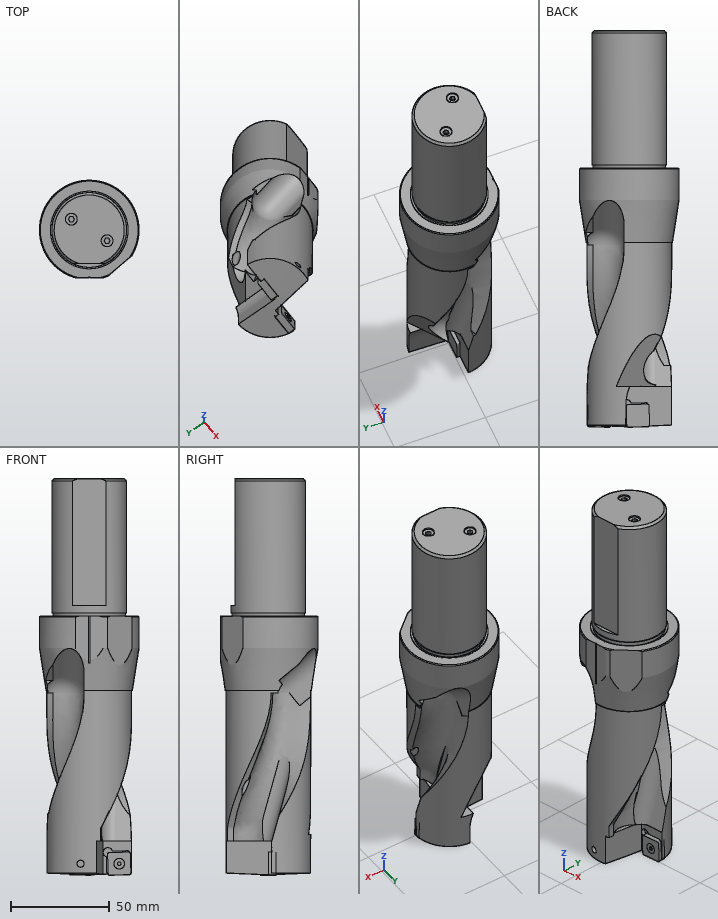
import cadquery as cq
import math


shank_radius = 38.1 / 2
shank_length = 70.0
shank_chamfer = 1.2
shank_flat_offset = 17.0
shank_flat_bottom = 5.5
neck_radius = shank_radius - 0.5
neck_length = 1.6
undercut_radius = 19.8
undercut_depth = 0.6

collar_radius = 25.4
collar_height = 16.4
collar_chamfer = 0.5
cone_bottom_radius = 22.0
cone_bottom_z = -37.9
front_flat_offset = 24.4
corner_flat_offset = 24.05
corner_flat_angle = 40.5
mark_width = 0.6
mark_depth = 0.4
mark_bottom = -24.0

drill_radius = 21.65
tip_z = -132.09
body_end_z = tip_z + 0.2
rim_rise = 0.9
flute_count = 2

groove_radius = 10.2
groove_x = -12.8
groove_y = -10.8
groove_wall_x = groove_x + groove_radius
land_x = -18.5
land_y = groove_y + math.sqrt(groove_radius ** 2 - (land_x - groove_x) ** 2)
land_slope = 0.3
flute_reach = 26.0

flute_top_z = -39.3
center_flute_end_z = -100.5
twist_rate = 2.1
twist_ease_length = 59.0
full_turn = 78.0
top_runout_angle = 51.0
slot_depth = 8.2
relief_offset = 12.5
relief_slope = 19.0
relief_heading = 127.0

clearance_tilt = 15.5
clearance_x = 6.0
clearance_depth = 7.5
clearance_fillet = 7.35
clearance_length = 50.0

outer_pocket_top_z = -114.7
center_pocket_top_z = -111.2
pocket_overrun = 1.0
seat_gap = 0.7
pocket_wall_y = 1.75
center_wall_bend_z = -120.5
center_wall_overhang = 2.0
outer_wall_inner_x = 6.9
outer_wall_rim_x = 3.2
center_wall_x = -1.7

insert_size = 11.6
insert_thickness = 4.0
insert_corner = 0.8
insert_lean = 1.5
outer_insert_x = 15.3
center_insert_x = 4.4
corner_relief_radius = 2.4

screw_head_radius = 2.7
screw_head_depth = 1.6
screw_radius = 1.8
screw_length = 12.0
screw_socket_width = 2.0
screw_socket_depth = 1.0

plug_x = -9.1
plug_y = 5.5
plug_radius = 3.0
plug_recess = 0.8
plug_length = 8.0
plug_socket_width = 3.0
plug_socket_depth = 3.0
coolant_radius = 2.0
coolant_exit = cq.Vector(-14.0, 11.5, -93.0)

origin = (0, 0, 0)
z_axis = (0, 0, 1)
y_axis = (0, 1, 0)
half_insert = insert_size / 2
lean = math.radians(insert_lean)
insert_drop = (half_insert - insert_corner) * (math.cos(lean) + math.sin(lean)) + insert_corner
insert_z = tip_z + insert_drop


def around_axis(shape, angle):
    return shape.rotate(origin, z_axis, angle)


def turned_blank():
    """Shank, collar, cone and drill shaft as one turned profile."""
    return (
        cq.Workplane("XZ")
        .moveTo(0, body_end_z)
        .lineTo(drill_radius, body_end_z + rim_rise)
        .lineTo(drill_radius, cone_bottom_z)
        .lineTo(cone_bottom_radius, cone_bottom_z)
        .lineTo(collar_radius, -collar_height)
        .lineTo(collar_radius, -collar_chamfer)
        .lineTo(collar_radius - collar_chamfer, 0)
        .lineTo(undercut_radius, 0)
        .lineTo(undercut_radius, -undercut_depth)
        .lineTo(neck_radius, -undercut_depth)
        .lineTo(neck_radius, neck_length)
        .lineTo(shank_radius, neck_length)
        .lineTo(shank_radius, shank_length - shank_chamfer)
        .lineTo(shank_radius - shank_chamfer, shank_length)
        .lineTo(0, shank_length)
        .close()
        .revolve(360, origin, (0, 1, 0))
    )


def flat_cutter(offset, bottom, top):
    """Block that leaves a flat facing -Y at the given distance from the axis."""
    width = 2 * collar_radius
    depth = collar_radius
    block = cq.Workplane("XY").box(width, depth, top - bottom, centered=(True, True, False))
    return block.translate((0, -offset - depth / 2, bottom))


def alignment_mark():
    """Shallow scribed line down the middle of the front collar flat."""
    bar = cq.Workplane("XY").box(mark_width, 2 * mark_depth, -mark_bottom, centered=(True, True, False))
    return bar.translate((0, -front_flat_offset, mark_bottom))


def flute_turn(drop):
    """Turn of the flute, in degrees, at a distance below its top: eased in, steady, then straight."""
    if drop < twist_ease_length:
        return twist_rate * drop ** 2 / (2 * twist_ease_length)
    return min(twist_rate * (drop - twist_ease_length / 2), full_turn)


def twisted_flute(end_z):
    """Flute with a sloped land, round floor and straight wall, turned by a guide curve."""
    length = flute_top_z - end_z

    def guide_point(t):
        drop = t * length
        angle = math.radians(-flute_turn(drop))
        return (
            flute_reach * math.cos(angle),
            flute_reach * math.sin(angle),
            flute_top_z - drop,
        )

    guide = cq.Workplane("XY").parametricCurve(guide_point)
    path = cq.Workplane("XZ").moveTo(0, flute_top_z).lineTo(0, end_z)
    return (
        cq.Workplane("XY", origin=(0, 0, flute_top_z))
        .moveTo(-flute_reach, land_y + land_slope * (flute_reach + land_x))
        .lineTo(land_x, land_y)
        .threePointArc((groove_x, groove_y + groove_radius), (groove_wall_x, groove_y))
        .lineTo(groove_wall_x, -flute_reach)
        .lineTo(-flute_reach, -flute_reach)
        .close()
        .sweep(path, auxSpine=guide)
    )


def groove_ball(z):
    return cq.Workplane("XY").sphere(groove_radius).translate((groove_x, groove_y, z))


def top_runout():
    """Ball end of the flute and a slot of the same section that rises outward through the cone."""
    land_from_center = land_x - groove_x
    land_height = land_y - groove_y
    slot = (
        cq.Workplane("XY")
        .moveTo(-flute_reach, land_height)
        .lineTo(land_from_center, land_height)
        .threePointArc((0, groove_radius), (groove_radius, 0))
        .lineTo(groove_radius, -slot_depth)
        .lineTo(-flute_reach, -slot_depth)
        .close()
        .extrude(2 * collar_radius)
        .rotate(origin, (1, 0, 0), top_runout_angle)
        .translate((groove_x, groove_y, flute_top_z))
    )
    return [groove_ball(flute_top_z), slot]


def center_flute_end():
    """Ball end of the flute above the center insert."""
    return around_axis(groove_ball(center_flute_end_z), -flute_turn(flute_top_z - center_flute_end_z))


def center_flute_relief():
    """Wedge that slopes the rim back from the flute down to the center insert pocket."""
    run = flute_reach - relief_offset
    rise = run / math.tan(math.radians(relief_slope))
    wedge = (
        cq.Workplane("XZ")
        .moveTo(relief_offset, center_pocket_top_z)
        .lineTo(flute_reach, center_pocket_top_z)
        .lineTo(flute_reach, center_pocket_top_z + rise)
        .close()
        .extrude(flute_reach, both=True)
    )
    return around_axis(wedge, relief_heading)


def chip_clearance(pocket_top_z):
    """Tilted, round-cornered slot that carries chips from the insert up into the flute."""
    width = flute_reach - clearance_x
    slot = (
        cq.Workplane("XY")
        .box(width, clearance_depth, 2 * clearance_length, centered=(False, False, True))
        .edges("|Z and <X and >Y")
        .fillet(clearance_fillet)
        .translate((clearance_x, pocket_wall_y - clearance_depth, 0))
        .rotate(origin, (1, 0, 0), -clearance_tilt)
        .translate((0, 0, pocket_top_z))
    )
    above_pocket = (
        cq.Workplane("XY", origin=(0, 0, pocket_top_z))
        .rect(4 * flute_reach, 4 * flute_reach)
        .extrude(clearance_length)
    )
    return slot.intersect(above_pocket)


def outer_pocket():
    """Open quarter with a backing wall facing -Y and a slanted side wall."""
    bottom_z = tip_z - pocket_overrun
    return (
        cq.Workplane("XY", origin=(0, 0, bottom_z))
        .moveTo(outer_wall_inner_x, pocket_wall_y)
        .lineTo(flute_reach, pocket_wall_y)
        .lineTo(flute_reach, -flute_reach)
        .lineTo(outer_wall_rim_x, -flute_reach)
        .close()
        .extrude(outer_pocket_top_z - bottom_z)
    )


def center_pocket():
    """Open quarter whose side wall curves over toward the top, drawn on the +X side."""
    bottom_z = tip_z - pocket_overrun
    return (
        cq.Workplane("XZ", origin=(0, pocket_wall_y, 0))
        .moveTo(center_wall_x, bottom_z)
        .lineTo(center_wall_x, center_wall_bend_z)
        .tangentArcPoint((center_wall_x + center_wall_overhang, center_pocket_top_z), relative=False)
        .lineTo(flute_reach, center_pocket_top_z)
        .lineTo(flute_reach, bottom_z)
        .close()
        .extrude(flute_reach + pocket_wall_y)
    )


def insert_block(center_x):
    """Plain square insert on the +X side; its cutting face lies on Y = 0."""
    return (
        cq.Workplane("XY")
        .box(insert_size, insert_thickness, insert_size, centered=(True, False, True))
        .edges("|Y")
        .fillet(insert_corner)
        .rotate(origin, y_axis, -insert_lean)
        .translate((center_x, 0, insert_z))
    )


def along_y(center_x, radius, length):
    """Round bar from Y = 0 along +Y at the height of the insert center."""
    return cq.Workplane("XZ", origin=(center_x, 0, insert_z)).circle(radius).extrude(-length)


def corner_relief(center_x):
    """Round clearance behind the inner upper corner of an insert."""
    bar = along_y(center_x - half_insert, corner_relief_radius, insert_thickness)
    return bar.translate((0, 0, half_insert))


def screw_blank(center_x):
    """Countersunk screw outline without its socket."""
    head = (
        cq.Workplane("XZ", origin=(center_x, 0, insert_z))
        .circle(screw_head_radius)
        .workplane(offset=-screw_head_depth)
        .circle(screw_radius)
        .loft()
    )
    return head.union(along_y(center_x, screw_radius, screw_length))


def seat_cutters(center_x, hole_length):
    """Seat with a gap beside and above the insert, corner relief and screw hole."""
    gap_seat = insert_block(center_x).translate((-seat_gap, 0, seat_gap))
    return [
        insert_block(center_x),
        gap_seat,
        corner_relief(center_x),
        along_y(center_x, screw_radius, hole_length),
    ]


def coolant_cutters():
    """Plug bore in the shank end and the slanted channel down to the flute."""
    bore_depth = plug_recess + plug_length
    bore_bottom = shank_length - bore_depth
    bore = cq.Workplane("XY", origin=(plug_x, plug_y, bore_bottom)).circle(plug_radius).extrude(bore_depth)
    start = cq.Vector(plug_x, plug_y, bore_bottom)
    path = coolant_exit - start
    channel = cq.Solid.makeCylinder(coolant_radius, path.Length, start, path)
    return [bore, cq.Workplane(channel)]


def build_body():
    body = turned_blank()
    body = body.cut(flat_cutter(shank_flat_offset, shank_flat_bottom, shank_length))
    body = body.cut(flat_cutter(front_flat_offset, cone_bottom_z, 0))
    corner_flat = flat_cutter(corner_flat_offset, cone_bottom_z, 0)
    body = body.cut(around_axis(corner_flat, corner_flat_angle))
    body = body.cut(alignment_mark())

    repeated = top_runout() + coolant_cutters()
    for index in range(flute_count):
        for cutter in repeated:
            body = body.cut(around_axis(cutter, index * 360 / flute_count))

    outer_cutters = [
        around_axis(twisted_flute(outer_pocket_top_z), 180),
        outer_pocket(),
        chip_clearance(outer_pocket_top_z),
    ]
    for cutter in outer_cutters + seat_cutters(outer_insert_x, screw_length):
        body = body.cut(cutter)

    for cutter in [twisted_flute(center_flute_end_z), center_flute_end(), center_flute_relief()]:
        body = body.cut(cutter)

    center_cutters = [center_pocket(), chip_clearance(center_pocket_top_z)]
    for cutter in center_cutters + seat_cutters(center_insert_x, collar_radius):
        body = body.cut(around_axis(cutter, 180))
    return body


def build_outer_insert():
    return insert_block(outer_insert_x).cut(screw_blank(outer_insert_x))


def build_center_insert():
    return around_axis(insert_block(center_insert_x), 180)


def build_screw():
    socket = (
        cq.Workplane("XZ", origin=(outer_insert_x, 0, insert_z))
        .polygon(6, screw_socket_width)
        .extrude(-screw_socket_depth)
    )
    return screw_blank(outer_insert_x).cut(socket)


def build_plug():
    top = shank_length - plug_recess
    return (
        cq.Workplane("XY", origin=(plug_x, plug_y, top))
        .circle(plug_radius)
        .extrude(-plug_length)
        .faces(">Z")
        .workplane()
        .polygon(6, plug_socket_width)
        .cutBlind(-plug_socket_depth)
    )


body = build_body()
outer_insert = build_outer_insert()
center_insert = build_center_insert()
screw = build_screw()
plugs = [around_axis(build_plug(), index * 360 / flute_count) for index in range(flute_count)]

result = cq.Compound.makeCompound(
    [body.val(), outer_insert.val(), center_insert.val(), screw.val()] + [plug.val() for plug in plugs]
)